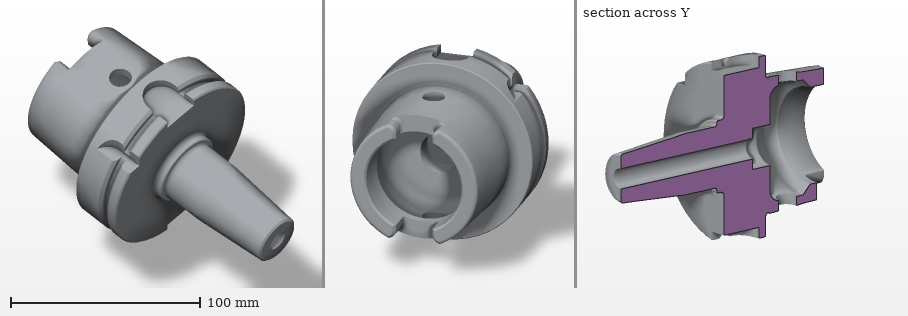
import cadquery as cq
import math


SHANK_LENGTH = 50.0
SHANK_LARGE_RADIUS = 75.42 / 2
TAPER_RATIO = 9.98
SHANK_END_FILLET = 1.8
RELIEF_LENGTH = 1.9
RELIEF_RADIUS = 37.1

FLANGE_RADIUS = 50.0
FLANGE_WIDTH = 29.0
FLANGE_REAR_CHAMFER = 0.5
FLANGE_FRONT_CHAMFER = 0.8
GROOVE_CENTER_X = 20.0
GROOVE_MOUTH_WIDTH = 6.8
GROOVE_FLOOR_WIDTH = 3.6
GROOVE_BEVEL_DEPTH = 1.6
GROOVE_DEPTH = 4.0

COLLAR_RADIUS = 20.0
COLLAR_LENGTH = 5.0
COLLAR_ROOT_FILLET = 1.9
COLLAR_EDGE_FILLET = 1.0
NECK_RADIUS = 17.0
NECK_ROOT_FILLET = 1.2
NECK_END_X = 55.5
NOSE_END_X = 100.0
NOSE_ANGLE = 4.5
NOSE_CHAMFER = 1.0

ENTRY_RADIUS = 53.0 / 2
ENTRY_CHAMFER = 1.0
ENTRY_LENGTH = 19.5
CAVITY_RADIUS = 63.0 / 2
CAVITY_FLOOR_X = -3.0
CAVITY_FLOOR_RADIUS = 25.0
TUBE_BORE_RADIUS = 22.38 / 2
TUBE_BORE_DEPTH = 12.0
THROUGH_BORE_RADIUS = 10.92 / 2
ACCESS_HOLE_RADIUS = 12.0 / 2
ACCESS_HOLE_X = -15.0

SLOT_HALF_WIDTH = 10.0
SLOT_DEPTH_TOP = 10.0
SLOT_DEPTH_BOTTOM = 15.0
SLOT_FLOOR_FILLET = 2.0
SLOT_FLARE_RADIUS = 5.0
SLOT_MOUTH_CHAMFER = 1.5
SLOT_FLARE_START_Z = 27.5
SLOT_INNER_Z = 20.0

POCKET_WIDTH = 20.0
POCKET_START_X = 5.0
POCKET_FLOOR_Z = 44.0
NOTCH_FLOOR_Z = 31.2
NOTCH_WALL_Y = -31.6

CLEARANCE = 10.0


def shank_radius(x):
    return SHANK_LARGE_RADIUS + (x + RELIEF_LENGTH) / TAPER_RATIO / 2


def revolved(profile):
    return profile.close().revolve(360, (0, 0, 0), (1, 0, 0))


def shank():
    """Slotted taper with a rounded end rim and a relieved corner at the flange."""
    taper = revolved(
        cq.Workplane("XY")
        .moveTo(-SHANK_LENGTH, 0)
        .lineTo(-SHANK_LENGTH, shank_radius(-SHANK_LENGTH))
        .lineTo(-RELIEF_LENGTH, SHANK_LARGE_RADIUS)
        .lineTo(-RELIEF_LENGTH, RELIEF_RADIUS)
        .radiusArc((0, RELIEF_RADIUS + RELIEF_LENGTH), -RELIEF_LENGTH)
        .lineTo(0, 0)
    )
    round_rim = taper.faces("<X").edges().fillet(SHANK_END_FILLET)
    return slotted_blank().intersect(round_rim)


def flange():
    """Disc with chamfered rims and a bevelled gripper groove."""
    half_mouth = GROOVE_MOUTH_WIDTH / 2
    half_floor = GROOVE_FLOOR_WIDTH / 2
    bevel_radius = FLANGE_RADIUS - GROOVE_BEVEL_DEPTH
    floor_radius = FLANGE_RADIUS - GROOVE_DEPTH
    return revolved(
        cq.Workplane("XY")
        .lineTo(0, FLANGE_RADIUS - FLANGE_REAR_CHAMFER)
        .lineTo(FLANGE_REAR_CHAMFER, FLANGE_RADIUS)
        .lineTo(GROOVE_CENTER_X - half_mouth, FLANGE_RADIUS)
        .lineTo(GROOVE_CENTER_X - half_floor, bevel_radius)
        .lineTo(GROOVE_CENTER_X - half_floor, floor_radius)
        .lineTo(GROOVE_CENTER_X + half_floor, floor_radius)
        .lineTo(GROOVE_CENTER_X + half_floor, bevel_radius)
        .lineTo(GROOVE_CENTER_X + half_mouth, FLANGE_RADIUS)
        .lineTo(FLANGE_WIDTH - FLANGE_FRONT_CHAMFER, FLANGE_RADIUS)
        .lineTo(FLANGE_WIDTH, FLANGE_RADIUS - FLANGE_FRONT_CHAMFER)
        .lineTo(FLANGE_WIDTH, 0)
    )


def nose():
    """Filleted collar, straight neck and conical nose in front of the flange."""
    collar_end = FLANGE_WIDTH + COLLAR_LENGTH
    end_radius = NECK_RADIUS - (NOSE_END_X - NECK_END_X) * math.tan(math.radians(NOSE_ANGLE))
    body = revolved(
        cq.Workplane("XY")
        .moveTo(FLANGE_WIDTH, 0)
        .lineTo(FLANGE_WIDTH, COLLAR_RADIUS + COLLAR_ROOT_FILLET)
        .radiusArc((FLANGE_WIDTH + COLLAR_ROOT_FILLET, COLLAR_RADIUS), -COLLAR_ROOT_FILLET)
        .lineTo(collar_end - COLLAR_EDGE_FILLET, COLLAR_RADIUS)
        .radiusArc((collar_end, COLLAR_RADIUS - COLLAR_EDGE_FILLET), COLLAR_EDGE_FILLET)
        .lineTo(collar_end, NECK_RADIUS + NECK_ROOT_FILLET)
        .radiusArc((collar_end + NECK_ROOT_FILLET, NECK_RADIUS), -NECK_ROOT_FILLET)
        .lineTo(NECK_END_X, NECK_RADIUS)
        .lineTo(NOSE_END_X, end_radius)
        .lineTo(NOSE_END_X, 0)
    )
    return body.faces(">X").edges().chamfer(NOSE_CHAMFER)


def bores():
    """Clamping cavity with its undercut, coolant tube bore and through bore."""
    entry_end = ENTRY_LENGTH - SHANK_LENGTH
    shoulder_end = entry_end + CAVITY_RADIUS - ENTRY_RADIUS
    floor_fillet = CAVITY_RADIUS - CAVITY_FLOOR_RADIUS
    tube_bore_end = CAVITY_FLOOR_X + TUBE_BORE_DEPTH
    return revolved(
        cq.Workplane("XY")
        .moveTo(-SHANK_LENGTH, 0)
        .lineTo(-SHANK_LENGTH, ENTRY_RADIUS + ENTRY_CHAMFER)
        .lineTo(-SHANK_LENGTH + ENTRY_CHAMFER, ENTRY_RADIUS)
        .lineTo(entry_end, ENTRY_RADIUS)
        .lineTo(shoulder_end, CAVITY_RADIUS)
        .lineTo(CAVITY_FLOOR_X - floor_fillet, CAVITY_RADIUS)
        .radiusArc((CAVITY_FLOOR_X, CAVITY_FLOOR_RADIUS), floor_fillet)
        .lineTo(CAVITY_FLOOR_X, TUBE_BORE_RADIUS)
        .lineTo(tube_bore_end, TUBE_BORE_RADIUS)
        .lineTo(tube_bore_end, THROUGH_BORE_RADIUS)
        .lineTo(NOSE_END_X, THROUGH_BORE_RADIUS)
        .lineTo(NOSE_END_X, 0)
    )


def access_hole():
    """Radial hole through both walls of the shank."""
    return (
        cq.Workplane("XY", origin=(ACCESS_HOLE_X, 0, 0))
        .circle(ACCESS_HOLE_RADIUS)
        .extrude(FLANGE_RADIUS, both=True)
    )


def upside_down(cutter):
    return cutter.rotate((0, 0, 0), (1, 0, 0), 180)


def drive_slot(depth):
    """Cutter for the +Z slot: walls flare outwards, floor edges are rounded."""
    flare_y = SLOT_HALF_WIDTH + SLOT_FLARE_RADIUS
    flare_z = SLOT_FLARE_START_Z + SLOT_FLARE_RADIUS
    far_y = SHANK_LARGE_RADIUS + CLEARANCE
    far_z = SHANK_LARGE_RADIUS + 2 * CLEARANCE
    cutter = (
        cq.Workplane("YZ", origin=(-SHANK_LENGTH - CLEARANCE, 0, 0))
        .moveTo(-SLOT_HALF_WIDTH, SLOT_INNER_Z)
        .lineTo(SLOT_HALF_WIDTH, SLOT_INNER_Z)
        .lineTo(SLOT_HALF_WIDTH, SLOT_FLARE_START_Z)
        .radiusArc((flare_y, flare_z), SLOT_FLARE_RADIUS)
        .lineTo(far_y, flare_z)
        .lineTo(far_y, far_z)
        .lineTo(-far_y, far_z)
        .lineTo(-far_y, flare_z)
        .lineTo(-flare_y, flare_z)
        .radiusArc((-SLOT_HALF_WIDTH, SLOT_FLARE_START_Z), SLOT_FLARE_RADIUS)
        .close()
        .extrude(CLEARANCE + depth)
    )
    return cutter.faces(">X").edges().fillet(SLOT_FLOOR_FILLET)


def slotted_blank():
    """Oversize bar with both drive slots, whose walls are chamfered at the shank end."""
    blank = (
        cq.Workplane("YZ", origin=(-SHANK_LENGTH, 0, 0))
        .circle(SHANK_LARGE_RADIUS + CLEARANCE)
        .extrude(SHANK_LENGTH)
        .cut(drive_slot(SLOT_DEPTH_TOP))
        .cut(upside_down(drive_slot(SLOT_DEPTH_BOTTOM)))
    )
    return blank.faces("<X").edges().chamfer(SLOT_MOUTH_CHAMFER)


def round_ended_cutter(center_y, floor_z):
    """Upright cutter with a rounded rear end, open at the front of the flange."""
    radius = POCKET_WIDTH / 2
    center_x = POCKET_START_X + radius
    plane = cq.Workplane("XY", origin=(center_x, center_y, floor_z))
    round_end = plane.circle(radius).extrude(FLANGE_RADIUS - floor_z)
    straight = cq.Workplane("XY").box(
        FLANGE_WIDTH - center_x, POCKET_WIDTH, FLANGE_RADIUS - floor_z, centered=(False, True, False)
    )
    straight = straight.translate((center_x, center_y, floor_z))
    return round_end.union(straight)


top_pocket = round_ended_cutter(0, POCKET_FLOOR_Z)
orientation_notch = round_ended_cutter(NOTCH_WALL_Y - POCKET_WIDTH / 2, NOTCH_FLOOR_Z)

result = shank().union(flange()).union(nose())
for cutter in (bores(), access_hole(), top_pocket, upside_down(top_pocket), orientation_notch):
    result = result.cut(cutter)